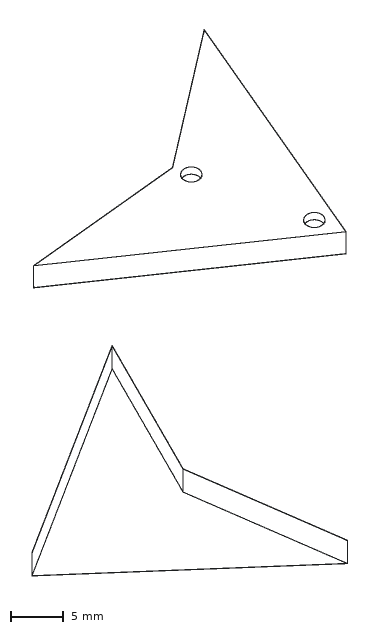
import cadquery as cq
import math

side_length = 30.0
tip_angle = 72.0
thickness = 3.0
hole_diameter = 2.0
hole_depth = 1.0
corner_hole_distance = 3.4
notch_hole_distance = 2.0

half_angle = math.radians(tip_angle / 2)
notch_distance = side_length / 2 / math.cos(half_angle)


def from_corner(distance, angle):
    """Point at a distance from the outer corner, angled down from the back side."""
    return (
        side_length - distance * math.cos(angle),
        -distance * math.sin(angle),
    )


outer_corner = from_corner(0, 0)
left_tip = from_corner(side_length, 0)
inner_corner = from_corner(notch_distance, half_angle)
front_tip = from_corner(side_length, 2 * half_angle)
plate = (
    cq.Workplane("XY")
    .polyline([outer_corner, left_tip, inner_corner, front_tip])
    .close()
    .extrude(thickness)
)

hole_centers = [
    from_corner(corner_hole_distance, half_angle),
    from_corner(notch_distance - notch_hole_distance, half_angle),
]
holes = (
    cq.Workplane("XY", origin=(0, 0, thickness - hole_depth))
    .pushPoints(hole_centers)
    .circle(hole_diameter / 2)
    .extrude(hole_depth)
)

result = plate.cut(holes)